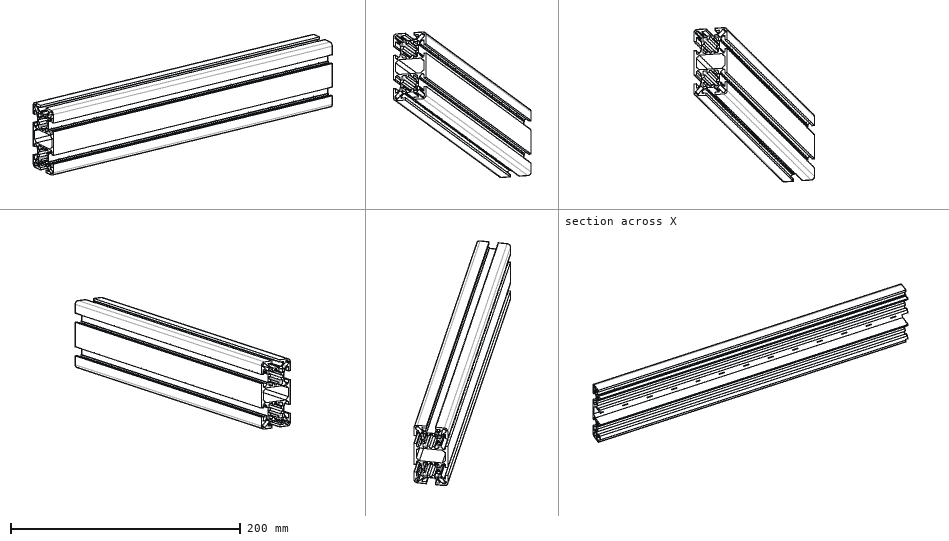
import cadquery as cq
LENGTH = 300.0
CELL = 30.0
HALF_CELL = CELL / 2
CORNER_RADIUS = 3.0

SLOT_HALF_OPENING = 8.0 / 2
SLOT_HALF_WIDTH = 7.8
LIP_THICKNESS = 2.0
LIP_INNER = HALF_CELL - LIP_THICKNESS
SLOT_FLOOR = 9.0
RECESS_FLOOR = SLOT_FLOOR - 0.75
RECESS_HALF_WIDTH = 7.5 / 2
WEB_OFFSET = 4.0

BORE_RADIUS = 6.0
POCKET_INNER = 3.3
POCKET_OUTER = 14.0 / 2
POCKET_RADIUS = 1.5
GROOVE_RADIUS = 1.2

HOLLOW_OFFSET = 2.35
HOLLOW_INNER_SUM = 15.0
HOLLOW_OUTER_SUM = 25.8
HOLLOW_SKIN = 1.5
HOLLOW_LIMIT = HALF_CELL - HOLLOW_SKIN

CHAMBER_HALF_WIDTH = LIP_INNER
CHAMBER_HALF_HEIGHT = 6.5
CHAMBER_CHAMFER = 2.7


def section_plane():
    """Workplane on the +Y end, with local axes X and Z, that extrudes toward -Y."""
    return cq.Workplane("XZ", origin=(0, LENGTH / 2, 0))


def prism(points):
    return section_plane().polyline(points).close().extrude(LENGTH)


def quarter_turns(solid, turns):
    """Turn a solid about the Y axis by a number of quarter turns."""
    return solid.rotate((0, 0, 0), (0, 1, 0), 90 * turns)


def slot(pointed=False):
    """T-slot open toward +X; if pointed, its lower inner corner tapers to a point."""
    web_end = SLOT_HALF_WIDTH + WEB_OFFSET
    floor_half_width = SLOT_FLOOR - WEB_OFFSET
    taper = LIP_INNER - web_end if pointed else 0.0
    return prism([
        (HALF_CELL, SLOT_HALF_OPENING),
        (LIP_INNER, SLOT_HALF_OPENING),
        (LIP_INNER, SLOT_HALF_WIDTH),
        (web_end, SLOT_HALF_WIDTH),
        (SLOT_FLOOR, floor_half_width),
        (SLOT_FLOOR, RECESS_HALF_WIDTH),
        (RECESS_FLOOR, RECESS_HALF_WIDTH),
        (RECESS_FLOOR, -RECESS_HALF_WIDTH),
        (SLOT_FLOOR, -RECESS_HALF_WIDTH),
        (SLOT_FLOOR, -floor_half_width),
        (web_end, -SLOT_HALF_WIDTH),
        (LIP_INNER, taper - SLOT_HALF_WIDTH),
        (LIP_INNER, -SLOT_HALF_OPENING),
        (HALF_CELL, -SLOT_HALF_OPENING),
    ])


def bore():
    """Round bore with four rounded corner pockets and four grooves, leaving eight teeth."""
    pocket_size = POCKET_OUTER - POCKET_INNER
    pocket_centre = (POCKET_OUTER + POCKET_INNER) / 2
    pocket = (
        section_plane()
        .center(pocket_centre, pocket_centre)
        .rect(pocket_size, pocket_size)
        .extrude(LENGTH)
        .edges("|Y and >X and >Z")
        .fillet(POCKET_RADIUS)
    )
    groove = section_plane().center(BORE_RADIUS, 0).circle(GROOVE_RADIUS).extrude(LENGTH)
    void = section_plane().circle(BORE_RADIUS).extrude(LENGTH)
    for turns in range(4):
        for cutter in (pocket, groove):
            void = void.union(quarter_turns(cutter, turns))
    return void


def corner_hollow():
    """Diagonal hollow toward the +X, +Z corner."""
    inner_near = (HOLLOW_INNER_SUM - HOLLOW_OFFSET) / 2
    inner_far = (HOLLOW_INNER_SUM + HOLLOW_OFFSET) / 2
    side_end = HOLLOW_LIMIT - HOLLOW_OFFSET
    outer_end = HOLLOW_OUTER_SUM - HOLLOW_LIMIT
    return prism([
        (inner_near, inner_far),
        (side_end, HOLLOW_LIMIT),
        (outer_end, HOLLOW_LIMIT),
        (HOLLOW_LIMIT, outer_end),
        (HOLLOW_LIMIT, side_end),
        (inner_far, inner_near),
    ])


def upper_cell_voids():
    """The bore, three slots and two hollows of the upper cell, with its centre at the origin."""
    side_slot = slot(pointed=True)
    top_slot = quarter_turns(slot(), -1)
    hollow = corner_hollow()
    return [bore(), top_slot, side_slot, side_slot.mirror("YZ"), hollow, hollow.mirror("YZ")]


def chamber():
    return (
        section_plane()
        .rect(2 * CHAMBER_HALF_WIDTH, 2 * CHAMBER_HALF_HEIGHT)
        .extrude(LENGTH)
        .edges("|Y")
        .chamfer(CHAMBER_CHAMFER)
    )


body = section_plane().rect(CELL, 2 * CELL).extrude(LENGTH).edges("|Y").fillet(CORNER_RADIUS)
body = body.cut(chamber())
for void in upper_cell_voids():
    upper_void = void.translate((0, 0, HALF_CELL))
    body = body.cut(upper_void).cut(upper_void.mirror("XY"))

result = body